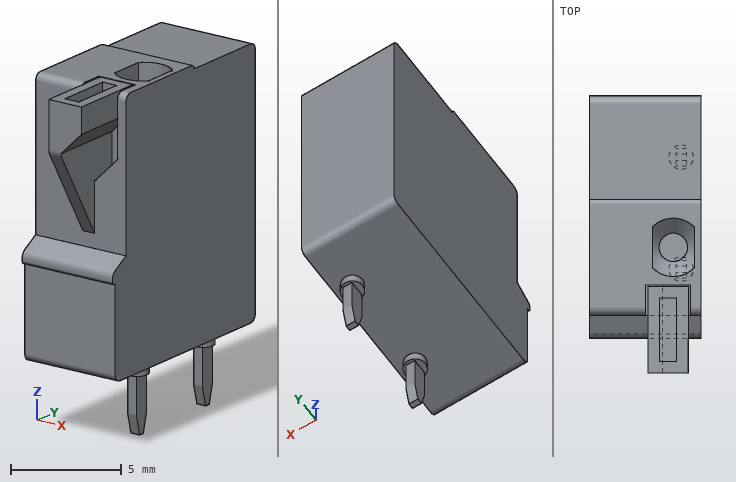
import cadquery as cq
import math


HOUSING_WIDTH = 5.08
HOUSING_DEPTH = 9.98
HOUSING_HEIGHT = 13.6
REAR_STEP_DROP = 0.2
REAR_STEP_Y = 5.27
CORNER_RADIUS = 0.37
FOOT_PROJECTION = 0.83
NOSE_PROJECTION = 1.04
NOSE_BASE_Z = 5.86
NOSE_SLOPE = math.radians(30)
NOSE_TOP_RADIUS = 0.42
NOSE_BOTTOM_RADIUS = NOSE_PROJECTION - FOOT_PROJECTION
NOSE_BOTTOM_Z = 4.71

ENTRY_X = 1.28
ENTRY_Y = 3.1
ENTRY_RADIUS = 1.33
ENTRY_FLAT_WIDTH = 1.9
ENTRY_STRAIGHT_DEPTH = 0.9
ENTRY_FLOOR_RADIUS = 0.65
ENTRY_DEPTH = ENTRY_STRAIGHT_DEPTH + ENTRY_RADIUS - ENTRY_FLOOR_RADIUS

LEVER_LEFT_X = 0.12
LEVER_WIDTH = 1.84
LEVER_RIGHT_X = LEVER_LEFT_X + LEVER_WIDTH
BLADE_WIDTH = 0.66
BLADE_RIGHT_X = LEVER_LEFT_X + BLADE_WIDTH
LEVER_INSERTION = 1.33
LEVER_PROJECTION = 2.62
LEVER_FLANK_DROP = 1.31
LEVER_FRONT_DROP = 2.55
LEVER_DROP = 7.0
LEVER_BEND_RADIUS = 0.5
SLOT_WALL = 0.53
SLOT_DEPTH = 1.02

POCKET_SIDE_GAP = 0.11
POCKET_REAR_GAP = 0.05
POCKET_LEFT_X = LEVER_LEFT_X - POCKET_SIDE_GAP
POCKET_RIGHT_X = LEVER_RIGHT_X + POCKET_SIDE_GAP
POCKET_FLANK_DROP = 3.21
POCKET_DROP = 4.49
POCKET_DEPTH = LEVER_INSERTION + POCKET_REAR_GAP

PIN_X = 1.63
PIN_FRONT_Y = 2.1
PIN_PITCH = 5.08
PIN_COUNT = 2
PIN_LENGTH = 3.4
PIN_WIDTH = 0.8
PIN_THICKNESS = 0.5
PIN_TIP_WIDTH = 0.29
PIN_TAPER_LENGTH = 1.0
COLLAR_DIAMETER = 1.1
COLLAR_HEIGHT = 0.5


def housing_block():
    """Side outline of the housing, extruded across its full width."""
    r = CORNER_RADIUS
    rear_top = HOUSING_HEIGHT - REAR_STEP_DROP
    step_end_y = REAR_STEP_Y - REAR_STEP_DROP
    arc_start_y = NOSE_TOP_RADIUS * (1 - math.sin(NOSE_SLOPE)) - NOSE_PROJECTION
    arc_start_z = NOSE_BASE_Z + arc_start_y * math.tan(NOSE_SLOPE)
    arc_end_z = arc_start_z - NOSE_TOP_RADIUS * math.cos(NOSE_SLOPE)
    return (
        cq.Workplane("YZ", origin=(-HOUSING_WIDTH / 2, 0, 0))
        .moveTo(HOUSING_DEPTH - r, 0)
        .lineTo(r - FOOT_PROJECTION, 0)
        .tangentArcPoint((-FOOT_PROJECTION, r), relative=False)
        .lineTo(-FOOT_PROJECTION, NOSE_BOTTOM_Z)
        .radiusArc((-NOSE_PROJECTION, NOSE_BOTTOM_Z + NOSE_BOTTOM_RADIUS), NOSE_BOTTOM_RADIUS)
        .lineTo(-NOSE_PROJECTION, arc_end_z)
        .tangentArcPoint((arc_start_y, arc_start_z), relative=False)
        .lineTo(0, NOSE_BASE_Z)
        .lineTo(0, HOUSING_HEIGHT - r)
        .tangentArcPoint((r, HOUSING_HEIGHT), relative=False)
        .lineTo(step_end_y, HOUSING_HEIGHT)
        .tangentArcPoint((REAR_STEP_Y, rear_top), relative=False)
        .lineTo(HOUSING_DEPTH - r, rear_top)
        .tangentArcPoint((HOUSING_DEPTH, rear_top - r), relative=False)
        .lineTo(HOUSING_DEPTH, r)
        .tangentArcPoint((HOUSING_DEPTH - r, 0), relative=False)
        .close()
        .extrude(HOUSING_WIDTH)
    )


def lever_pocket():
    """Recess open to the top and front, with one 45 degree lower corner."""
    corner_size = POCKET_DROP - POCKET_FLANK_DROP
    bottom_z = HOUSING_HEIGHT - POCKET_DROP
    return (
        cq.Workplane("XZ")
        .moveTo(POCKET_LEFT_X, HOUSING_HEIGHT)
        .lineTo(POCKET_LEFT_X, bottom_z)
        .lineTo(POCKET_RIGHT_X - corner_size, bottom_z)
        .lineTo(POCKET_RIGHT_X, bottom_z + corner_size)
        .lineTo(POCKET_RIGHT_X, HOUSING_HEIGHT)
        .close()
        .extrude(-POCKET_DEPTH)
    )


def wire_entry():
    """Round well with a conical lower part, cut off by a flat on either side."""
    well = (
        cq.Workplane("XZ", origin=(ENTRY_X, ENTRY_Y, HOUSING_HEIGHT))
        .lineTo(ENTRY_RADIUS, 0)
        .lineTo(ENTRY_RADIUS, -ENTRY_STRAIGHT_DEPTH)
        .lineTo(ENTRY_FLOOR_RADIUS, -ENTRY_DEPTH)
        .lineTo(0, -ENTRY_DEPTH)
        .close()
        .revolve(360, (0, 0), (0, 1))
    )
    flats = (
        cq.Workplane("XY", origin=(ENTRY_X, ENTRY_Y, HOUSING_HEIGHT))
        .rect(ENTRY_FLAT_WIDTH, 2 * ENTRY_RADIUS)
        .extrude(-ENTRY_DEPTH)
    )
    return well.intersect(flats)


def make_housing():
    return housing_block().cut(lever_pocket()).cut(wire_entry())


def lever_side_shape():
    """Lever seen along X: a block in the pocket and a wedge tapering down to the front wall."""
    top_z = HOUSING_HEIGHT
    ledge_z = HOUSING_HEIGHT - POCKET_DROP
    bend_z = HOUSING_HEIGHT - LEVER_FRONT_DROP
    wedge = (
        cq.Workplane("YZ", origin=(LEVER_LEFT_X, 0, 0))
        .moveTo(LEVER_INSERTION, top_z)
        .lineTo(LEVER_INSERTION, ledge_z)
        .lineTo(0, ledge_z)
        .lineTo(0, HOUSING_HEIGHT - LEVER_DROP)
        .lineTo(-LEVER_PROJECTION, bend_z)
        .lineTo(-LEVER_PROJECTION, top_z)
        .close()
        .extrude(LEVER_WIDTH)
    )
    bend_edge = cq.NearestToPointSelector((LEVER_LEFT_X + LEVER_WIDTH / 2, -LEVER_PROJECTION, bend_z))
    return wedge.edges("|X").edges(bend_edge).fillet(LEVER_BEND_RADIUS)


def lever_front_shape():
    """Lever seen along Y: a wide head that narrows at 45 degrees to the blade."""
    flank_z = HOUSING_HEIGHT - LEVER_FLANK_DROP
    shoulder_z = flank_z - (LEVER_RIGHT_X - BLADE_RIGHT_X)
    bottom_z = HOUSING_HEIGHT - LEVER_DROP
    return (
        cq.Workplane("XZ", origin=(0, LEVER_INSERTION, 0))
        .moveTo(LEVER_LEFT_X, HOUSING_HEIGHT)
        .lineTo(LEVER_LEFT_X, bottom_z)
        .lineTo(BLADE_RIGHT_X, bottom_z)
        .lineTo(BLADE_RIGHT_X, shoulder_z)
        .lineTo(LEVER_RIGHT_X, flank_z)
        .lineTo(LEVER_RIGHT_X, HOUSING_HEIGHT)
        .close()
        .extrude(LEVER_INSERTION + LEVER_PROJECTION)
    )


def make_lever():
    length = LEVER_INSERTION + LEVER_PROJECTION
    center_x = LEVER_LEFT_X + LEVER_WIDTH / 2
    center_y = LEVER_INSERTION - length / 2
    slot = (
        cq.Workplane("XY", origin=(center_x, center_y, HOUSING_HEIGHT))
        .rect(LEVER_WIDTH - 2 * SLOT_WALL, length - 2 * SLOT_WALL)
        .extrude(-SLOT_DEPTH)
    )
    return lever_side_shape().intersect(lever_front_shape()).cut(slot)


def make_pin(y):
    """Round collar against the underside, with a flat blade tapering to its tip."""
    collar = (
        cq.Workplane("XY", origin=(PIN_X, y, 0))
        .circle(COLLAR_DIAMETER / 2)
        .extrude(-COLLAR_HEIGHT)
    )
    taper_z = PIN_TAPER_LENGTH - PIN_LENGTH
    blade = (
        cq.Workplane("YZ", origin=(PIN_X, y, 0))
        .moveTo(-PIN_WIDTH / 2, -COLLAR_HEIGHT)
        .lineTo(-PIN_WIDTH / 2, taper_z)
        .lineTo(-PIN_TIP_WIDTH / 2, -PIN_LENGTH)
        .lineTo(PIN_TIP_WIDTH / 2, -PIN_LENGTH)
        .lineTo(PIN_WIDTH / 2, taper_z)
        .lineTo(PIN_WIDTH / 2, -COLLAR_HEIGHT)
        .close()
        .extrude(PIN_THICKNESS / 2, both=True)
    )
    return collar.union(blade)


housing = make_housing()
lever = make_lever()
pins = [make_pin(PIN_FRONT_Y + i * PIN_PITCH) for i in range(PIN_COUNT)]

result = cq.Compound.makeCompound([housing.val(), lever.val(), *[pin.val() for pin in pins]])